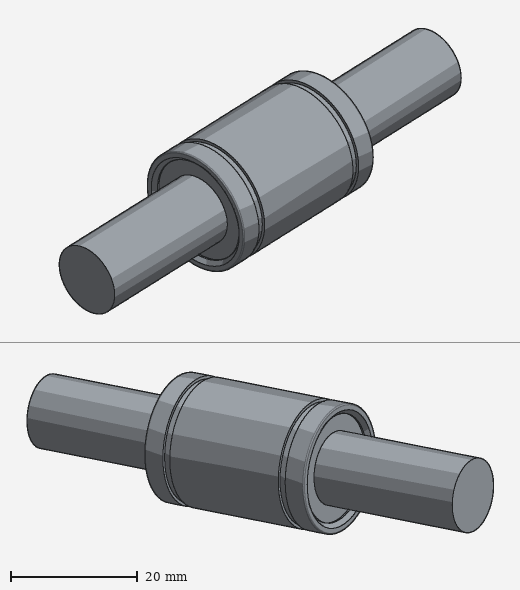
import cadquery as cq

shaft_diameter = 12.0
shaft_length = 80.0

sleeve_diameter = 21.0
sleeve_length = 30.0
sleeve_edge_radius = 0.2

groove_diameter = 20.0
groove_width = 1.3
groove_outer_span = 23.0

recess_diameter = 17.6
recess_depth = 1.0
recess_chamfer = 0.7


def cylinder(diameter, length, center_y=0.0):
    """Solid cylinder along Y, centred at center_y."""
    base = cq.Workplane("XZ", origin=(0, center_y + length / 2, 0))
    return base.circle(diameter / 2).extrude(length)


def retaining_groove(side):
    """Ring to cut from the sleeve, on the +Y (1) or -Y (-1) side."""
    center_y = side * (groove_outer_span - groove_width) / 2
    ring = cylinder(sleeve_diameter, groove_width, center_y)
    return ring.cut(cylinder(groove_diameter, groove_width, center_y))


def end_recess(side):
    """Chamfered recess to cut from the sleeve end on the +Y (1) or -Y (-1) side."""
    recess_radius = recess_diameter / 2
    mouth_y = side * sleeve_length / 2
    floor_y = mouth_y - side * recess_depth
    half_section = [
        (0, floor_y),
        (recess_radius, floor_y),
        (recess_radius, mouth_y - side * recess_chamfer),
        (recess_radius + recess_chamfer, mouth_y),
        (0, mouth_y),
    ]
    return cq.Workplane("XY").polyline(half_section).close().revolve(360, (0, 0, 0), (0, 1, 0))


sleeve = cylinder(sleeve_diameter, sleeve_length).edges("%CIRCLE").fillet(sleeve_edge_radius)
for end_side in (1, -1):
    sleeve = sleeve.cut(retaining_groove(end_side)).cut(end_recess(end_side))

result = sleeve.union(cylinder(shaft_diameter, shaft_length))